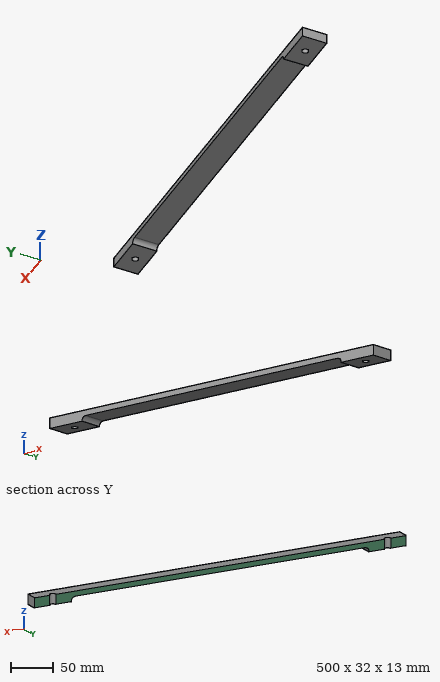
import cadquery as cq

length = 500.0
width = 32.0
height = 13.0

foot_length = 50.0
web_thickness = 7.0
relief_depth = height - web_thickness
relief_length = length - 2 * foot_length
corner_radius = 5.5

hole_diameter = 8.0
hole_spacing = 450.0


def make_bar():
    """Plain bar centred in X and Y, standing on Z = 0."""
    return cq.Workplane("XY").box(length, width, height, centered=(True, True, False))


def make_relief():
    """Block removed from the underside, rounded along its inner corners."""
    block = cq.Workplane("XY").box(relief_length, width, relief_depth, centered=(True, True, False))
    return block.edges("|Y and >Z").fillet(corner_radius)


def make_holes():
    """Vertical cylinders, one through each foot."""
    centres = [(-hole_spacing / 2, 0), (hole_spacing / 2, 0)]
    return cq.Workplane("XY").pushPoints(centres).circle(hole_diameter / 2).extrude(height)


result = make_bar().cut(make_relief()).cut(make_holes())